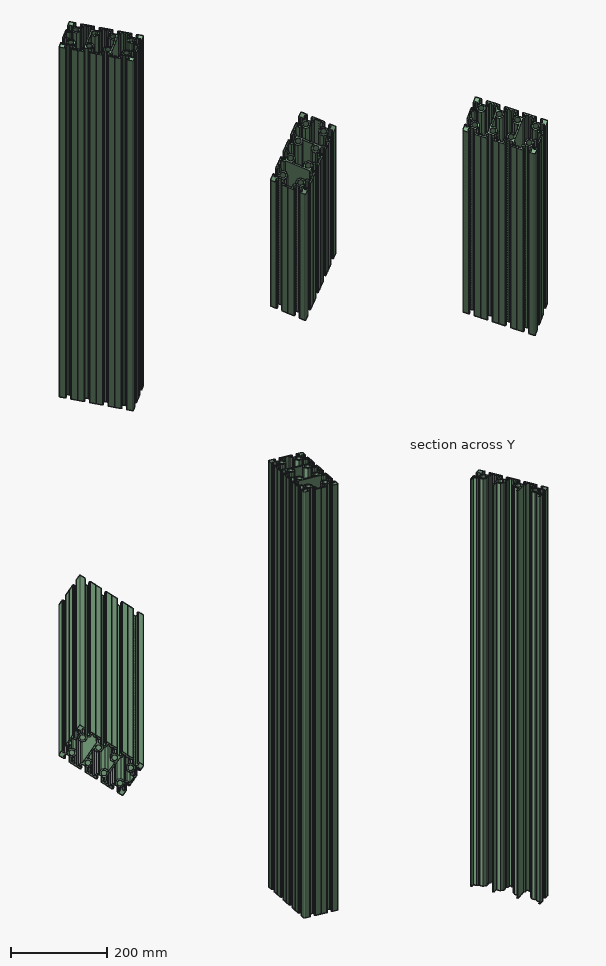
import cadquery as cq

width = 160.0
depth = 80.0
length = 1000.0
corner_radius = 2.0

module = 40.0
half_module = module / 2
columns = int(width / module)
rows = int(depth / module)

slot_opening = 10.0
rebate_width = 13.0
rebate_depth = 1.0
lip_thickness = 3.5
lip_hook_thickness = 4.5
lip_hook_width = 1.0
undercut_width = 19.0
undercut_straight_depth = 7.5
floor_width = 13.0
slot_depth = 11.0
floor_groove_width = 2.0
floor_groove_depth = 0.5

corner_post_size = half_module - undercut_width / 2
outer_wall = 3.5
end_wall = 3.0
jacket_wall = 3.0
jacket_depth = 13.0
core_size = 19.0
core_chamfer = 6.0
bore_diameter = 12.0
web_thickness = 3.5

mark_width = 1.0
mark_depth = 1.0
rib_width = 4.0
rib_depth = 5.5

column_positions = [(i + 0.5) * module - width / 2 for i in range(columns)]
row_positions = [(i + 0.5) * module - depth / 2 for i in range(rows)]
core_centers = [(x, y) for x in column_positions for y in row_positions]

slots = [(x, depth / 2, 0) for x in column_positions]
slots += [(x, -depth / 2, 180) for x in column_positions]
slots += [(-width / 2, y, 90) for y in row_positions]
slots += [(width / 2, y, -90) for y in row_positions]

long_side_marks = [(x + half_module, depth / 2, 0) for x in column_positions[:-1]]
long_side_marks += [(x + half_module, -depth / 2, 180) for x in column_positions[:-1]]
short_side_marks = [(-width / 2, 0, 90), (width / 2, 0, -90)]


def block(size_x, size_y):
    """Full-length bar centred on the profile axis."""
    return cq.Workplane("XY").rect(size_x, size_y).extrude(length)


def place_at_side(shape, spot):
    """Turn and move a shape drawn at the origin to a place on the outer surface."""
    x, y, angle = spot
    return shape.rotate((0, 0, 0), (0, 0, 1), angle).translate((x, y, 0))


def slot_cutter():
    """T-slot with a stepped mouth, hooked lips, a tapered undercut and a V groove along its floor."""
    hook_x = slot_opening / 2 + lip_hook_width
    right_side = [
        (rebate_width / 2, 0),
        (rebate_width / 2, -rebate_depth),
        (slot_opening / 2, -rebate_depth),
        (slot_opening / 2, -lip_hook_thickness),
        (hook_x, -lip_hook_thickness),
        (hook_x, -lip_thickness),
        (undercut_width / 2, -lip_thickness),
        (undercut_width / 2, -undercut_straight_depth),
        (floor_width / 2, -slot_depth),
        (floor_groove_width / 2, -slot_depth),
    ]
    groove_bottom = [(0, -slot_depth - floor_groove_depth)]
    left_side = [(-x, y) for x, y in reversed(right_side)]
    return cq.Workplane("XY").polyline(right_side + groove_bottom + left_side).close().extrude(length)


def slot_jacket():
    """Metal that encloses a slot before the slot is cut."""
    half_width = undercut_width / 2 + jacket_wall
    straight = undercut_straight_depth + jacket_wall
    outline = [
        (-half_width, 0),
        (half_width, 0),
        (half_width, -straight),
        (core_size / 2, -jacket_depth),
        (-core_size / 2, -jacket_depth),
        (-half_width, -straight),
    ]
    return cq.Workplane("XY").polyline(outline).close().extrude(length)


def mark_cutter():
    """Shallow V groove."""
    outline = [(-mark_width / 2, 0), (mark_width / 2, 0), (0, -mark_depth)]
    return cq.Workplane("XY").polyline(outline).close().extrude(length)


envelope = block(width, depth).edges("|Z").fillet(corner_radius)

profile = envelope.cut(block(width - 2 * end_wall, depth - 2 * outer_wall))

jacket = slot_jacket()
for slot in slots:
    profile = profile.union(place_at_side(jacket, slot).intersect(envelope))

corner_post = block(corner_post_size, corner_post_size)
for side_x in (-1, 1):
    for side_y in (-1, 1):
        post_center = (side_x * (width - corner_post_size) / 2, side_y * (depth - corner_post_size) / 2, 0)
        profile = profile.union(corner_post.translate(post_center).intersect(envelope))

core = block(core_size, core_size).edges("|Z").chamfer(core_chamfer)
for x, y in core_centers:
    profile = profile.union(core.translate((x, y, 0)))

web_x = half_module + (core_size - web_thickness) / 2
web = block(web_thickness, depth - outer_wall)
for side in (-1, 1):
    profile = profile.union(web.translate((side * web_x, 0, 0)))

rib = block(rib_width, rib_depth).translate((0, -rib_depth / 2, 0))
for spot in long_side_marks:
    profile = profile.union(place_at_side(rib, spot))

mark = mark_cutter()
for spot in long_side_marks + short_side_marks:
    profile = profile.cut(place_at_side(mark, spot))

cutter = slot_cutter()
for slot in slots:
    profile = profile.cut(place_at_side(cutter, slot))
bores = cq.Workplane("XY").pushPoints(core_centers).circle(bore_diameter / 2).extrude(length)

result = profile.cut(bores)